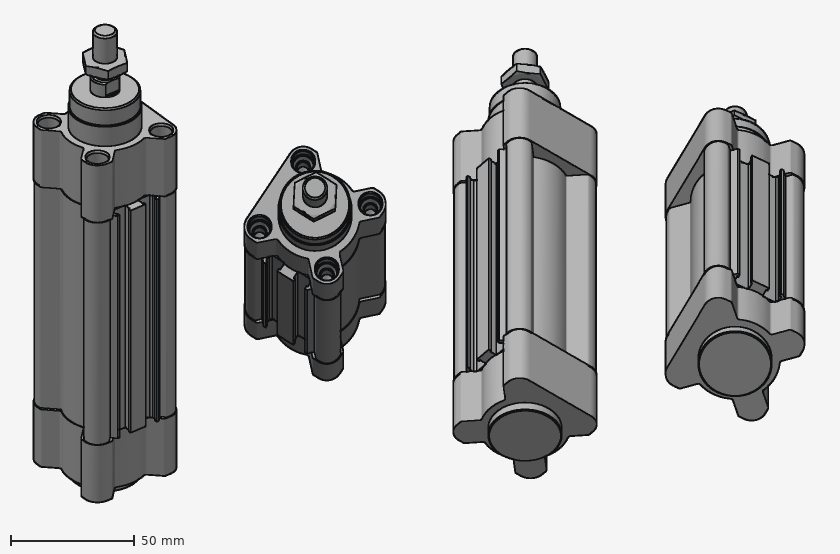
import cadquery as cq
import math

TOTAL_HEIGHT = 215.0
SPIGOT_HEIGHT = 4.3
END_CAP_HEIGHT = 28.0
BARREL_LENGTH = 108.2
COLLAR_HEIGHT = 10.0
BEARING_CAP_HEIGHT = 8.0

BARREL_BASE = SPIGOT_HEIGHT + END_CAP_HEIGHT
BARREL_TOP = BARREL_BASE + BARREL_LENGTH
HEAD_TOP = BARREL_TOP + END_CAP_HEIGHT
COLLAR_TOP = HEAD_TOP + COLLAR_HEIGHT
BEARING_TOP = COLLAR_TOP + BEARING_CAP_HEIGHT

WIDTH = 45.0
HALF_WIDTH = WIDTH / 2
SCREW_PITCH = 32.5
SCREW_OFFSET = SCREW_PITCH / 2
CAP_BELLY_RADIUS = 18.3
CAP_FLANK_OFFSET = 9.0
CAP_SHOULDER_FILLET = 1.0
CAP_ROOT_FILLET = 1.0
CAP_GAP_ANGLES = (0, 90, -90)

BARREL_HALF_WIDTH = 22.2
BARREL_FLANK_OFFSET = 7.3
BARREL_BELLY_RADIUS = 18.0
BARREL_ROOT_FILLET = 0.5
BARREL_SHOULDER_FILLET = 1.7
BARREL_GAP_ANGLES = (0, 90, 180, -90)

SLOT_ROOT_X = 15.0
SLOT_FLOOR_X = 17.6
LIP_INNER_X = 20.9
RAIL_HALF_WIDTH = 3.9
RAIL_NECK_HALF_WIDTH = 3.2
HOOK_INNER_Y = 9.5
HOOK_OUTER_Y = 10.5
SLOT_WALL_Y = 10.1
SLOT_FLOOR_CHAMFER = 0.9

COLLAR_DIAMETER = 30.0
COLLAR_CHAMFER = 0.5
BEARING_CAP_DIAMETER = 28.8
BEARING_CAP_CHAMFER = 0.6

MOUTH_DIAMETER = 10.0
RECESS_DIAMETER = 9.0
SEAT_DIAMETER = 8.2
THREAD_MOUTH_DIAMETER = 6.0
THREAD_DIAMETER = 5.0
MOUTH_DEPTH = 1.0
RECESS_DEPTH = 6.5
SEAT_DEPTH = 7.5
SEAT_CONE_DEPTH = 3.2
THREAD_DEPTH = 19.4
DRILL_POINT_ANGLE = 118.0

ROD_DIAMETER = 12.0
ROD_FLAT_WIDTH = 10.0
ROD_SHOULDER_CHAMFER = 0.6
THREAD_ROD_DIAMETER = 10.0
THREAD_LENGTH = 22.0
THREAD_CHAMFER = 0.9
THREAD_RUNOUT_DIAMETER = 8.5
THREAD_RUNOUT_HEIGHT = 2.2
UNDERCUT_DIAMETER = 7.7
UNDERCUT_HEIGHT = 1.7
FLAT_BASE_GAP = 0.9

ROD_SHOULDER = TOTAL_HEIGHT - THREAD_LENGTH
THREAD_BASE = ROD_SHOULDER + UNDERCUT_HEIGHT
FLAT_BASE = BEARING_TOP + FLAT_BASE_GAP

NUT_ACROSS_FLATS = 17.0
NUT_HEIGHT = 5.0
NUT_BASE = 197.0
NUT_CHAMFER_DIAMETER = 16.3
NUT_CHAMFER_ANGLE = 15.0


def cylinder(diameter, base, top):
    return cq.Workplane("XY").workplane(offset=base).circle(diameter / 2).extrude(top - base)


def box(x_size, y_size, base, top):
    return cq.Workplane("XY").workplane(offset=base).rect(x_size, y_size).extrude(top - base)


def cone(base_diameter, top_diameter, base, top):
    solid = cq.Solid.makeCone(base_diameter / 2, top_diameter / 2, top - base, cq.Vector(0, 0, base))
    return cq.Workplane(obj=solid)


def screw_points():
    return [(sx * SCREW_OFFSET, sy * SCREW_OFFSET) for sx in (-1, 1) for sy in (-1, 1)]


def side_gap(half_width, flank_offset, belly_radius, base, top):
    """Space beside the -Y belly: a 90 degree wedge that stops at the round belly."""
    mouth_half = half_width - flank_offset
    wedge = (
        cq.Workplane("XY")
        .workplane(offset=base)
        .polyline([(-mouth_half, -half_width), (mouth_half, -half_width), (0, -flank_offset)])
        .close()
        .extrude(top - base)
    )
    return wedge.cut(cylinder(2 * belly_radius, base, top))


def fillet_gap_edges(block, x, y, radius, gap_angles, middle):
    """Round the vertical edges at (+-x, -y), and their copies on the other gap sides."""
    for angle in gap_angles:
        turn = math.radians(angle)
        for edge_x in (-x, x):
            point = (
                edge_x * math.cos(turn) + y * math.sin(turn),
                edge_x * math.sin(turn) - y * math.cos(turn),
                middle,
            )
            block = block.edges(cq.selectors.NearestToPointSelector(point)).fillet(radius)
    return block


def lobed_block(
    half_width, flank_offset, belly_radius, shoulder_fillet, root_fillet, gap_angles, base, top
):
    """Square block with a round lobe at each screw and a filleted gap on each listed side."""
    block = box(2 * half_width, 2 * half_width, base, top)
    block = block.edges("|Z").fillet(half_width - SCREW_OFFSET)
    gap = side_gap(half_width, flank_offset, belly_radius, base, top)
    for angle in gap_angles:
        block = block.cut(gap.rotate((0, 0, 0), (0, 0, 1), angle))

    middle = (base + top) / 2
    shoulder_x = half_width - flank_offset
    block = fillet_gap_edges(block, shoulder_x, half_width, shoulder_fillet, gap_angles, middle)
    root_x = (math.sqrt(2 * belly_radius**2 - flank_offset**2) - flank_offset) / 2
    root_y = root_x + flank_offset
    return fillet_gap_edges(block, root_x, root_y, root_fillet, gap_angles, middle)


def end_cap(base):
    """Cap with gaps on the -Y, +X and -X sides and a flat +Y side."""
    return lobed_block(
        HALF_WIDTH, CAP_FLANK_OFFSET, CAP_BELLY_RADIUS, CAP_SHOULDER_FILLET, CAP_ROOT_FILLET,
        CAP_GAP_ANGLES, base, base + END_CAP_HEIGHT,
    )


def slot_side():
    """Sensor slots on the +X side: a centre rail between two hooks, with undercut slots."""
    groove_y = (HOOK_OUTER_Y + BARREL_HALF_WIDTH - BARREL_FLANK_OFFSET) / 2
    groove_x = groove_y + BARREL_FLANK_OFFSET
    half_outline = [
        (BARREL_HALF_WIDTH, RAIL_HALF_WIDTH),
        (LIP_INNER_X, RAIL_HALF_WIDTH),
        (LIP_INNER_X, RAIL_NECK_HALF_WIDTH),
        (SLOT_FLOOR_X, RAIL_NECK_HALF_WIDTH),
        (SLOT_FLOOR_X, SLOT_WALL_Y - SLOT_FLOOR_CHAMFER),
        (SLOT_FLOOR_X + SLOT_FLOOR_CHAMFER, SLOT_WALL_Y),
        (LIP_INNER_X, SLOT_WALL_Y),
        (LIP_INNER_X, HOOK_INNER_Y),
        (BARREL_HALF_WIDTH, HOOK_INNER_Y),
        (BARREL_HALF_WIDTH, HOOK_OUTER_Y),
        (groove_x, groove_y),
        (SLOT_ROOT_X, groove_y),
    ]
    mirrored = [(x, -y) for x, y in reversed(half_outline)]
    return (
        cq.Workplane("XY")
        .workplane(offset=BARREL_BASE)
        .polyline(half_outline + mirrored)
        .close()
        .extrude(BARREL_LENGTH)
    )


def barrel():
    block = lobed_block(
        BARREL_HALF_WIDTH, BARREL_FLANK_OFFSET, BARREL_BELLY_RADIUS, BARREL_SHOULDER_FILLET,
        BARREL_ROOT_FILLET, BARREL_GAP_ANGLES, BARREL_BASE, BARREL_TOP,
    )
    side = slot_side()
    return block.union(side).union(side.mirror("YZ"))


def collar():
    """Round collar on the head with the slightly smaller bearing cap on top of it."""
    ring = cylinder(COLLAR_DIAMETER, HEAD_TOP, COLLAR_TOP).faces(">Z").chamfer(COLLAR_CHAMFER)
    bearing_cap = cylinder(BEARING_CAP_DIAMETER, COLLAR_TOP, BEARING_TOP)
    return ring.union(bearing_cap.faces(">Z").chamfer(BEARING_CAP_CHAMFER))


def spigot():
    return cylinder(COLLAR_DIAMETER, 0, SPIGOT_HEIGHT).faces("<Z").chamfer(COLLAR_CHAMFER)


def screw_hole():
    """Stepped blind hole down from the head face, with a drill point at the bottom."""
    thread_radius = THREAD_DIAMETER / 2
    point_depth = thread_radius / math.tan(math.radians(DRILL_POINT_ANGLE / 2))
    cone_depth = SEAT_DEPTH + SEAT_CONE_DEPTH
    thread_mouth_depth = cone_depth + (THREAD_MOUTH_DIAMETER - THREAD_DIAMETER) / 2
    radius_and_depth = [
        (0, 0),
        (MOUTH_DIAMETER / 2, 0),
        (RECESS_DIAMETER / 2, MOUTH_DEPTH),
        (RECESS_DIAMETER / 2, RECESS_DEPTH),
        (SEAT_DIAMETER / 2, RECESS_DEPTH),
        (SEAT_DIAMETER / 2, SEAT_DEPTH),
        (THREAD_MOUTH_DIAMETER / 2, cone_depth),
        (thread_radius, thread_mouth_depth),
        (thread_radius, THREAD_DEPTH),
        (0, THREAD_DEPTH + point_depth),
    ]
    return (
        cq.Workplane("XZ")
        .polyline([(radius, HEAD_TOP - depth) for radius, depth in radius_and_depth])
        .close()
        .revolve(360, (0, 0, 0), (0, 1, 0))
    )


def make_housing():
    body = barrel().union(end_cap(SPIGOT_HEIGHT)).union(end_cap(BARREL_TOP))
    body = body.union(collar()).union(spigot())
    hole = screw_hole()
    for x, y in screw_points():
        body = body.cut(hole.translate((x, y, 0)))
    return body.cut(cylinder(ROD_DIAMETER, BARREL_TOP, BEARING_TOP))


def make_rod():
    """Rod with two wrench flats facing +-X, a thread undercut and a threaded end."""
    shaft = cylinder(ROD_DIAMETER, BARREL_TOP, ROD_SHOULDER).faces(">Z").chamfer(ROD_SHOULDER_CHAMFER)
    above_cap = box(ROD_FLAT_WIDTH, ROD_DIAMETER, FLAT_BASE, ROD_SHOULDER)
    below_flats = box(ROD_DIAMETER, ROD_DIAMETER, BARREL_TOP, FLAT_BASE)
    shaft = shaft.intersect(above_cap.union(below_flats))
    undercut = cylinder(UNDERCUT_DIAMETER, ROD_SHOULDER, THREAD_BASE)
    runout_top = THREAD_BASE + THREAD_RUNOUT_HEIGHT
    runout = cone(THREAD_RUNOUT_DIAMETER, THREAD_ROD_DIAMETER, THREAD_BASE, runout_top)
    thread = cylinder(THREAD_ROD_DIAMETER, runout_top, TOTAL_HEIGHT).faces(">Z").chamfer(THREAD_CHAMFER)
    return shaft.union(undercut).union(runout).union(thread)


def make_nut():
    """Hexagon nut with flats facing +-X."""
    corner_diameter = NUT_ACROSS_FLATS / math.cos(math.radians(30))
    nut = (
        cq.Workplane("XY")
        .workplane(offset=NUT_BASE)
        .polygon(6, corner_diameter)
        .extrude(NUT_HEIGHT)
        .rotate((0, 0, 0), (0, 0, 1), 30)
    )
    bevel_height = (corner_diameter - NUT_CHAMFER_DIAMETER) / 2 * math.tan(math.radians(NUT_CHAMFER_ANGLE))
    nut_top = NUT_BASE + NUT_HEIGHT
    lower_bevel = NUT_BASE + bevel_height
    upper_bevel = nut_top - bevel_height
    envelope = (
        cylinder(corner_diameter, lower_bevel, upper_bevel)
        .union(cone(NUT_CHAMFER_DIAMETER, corner_diameter, NUT_BASE, lower_bevel))
        .union(cone(corner_diameter, NUT_CHAMFER_DIAMETER, upper_bevel, nut_top))
    )
    return nut.intersect(envelope).cut(cylinder(THREAD_ROD_DIAMETER, NUT_BASE, nut_top))


housing = make_housing()
rod = make_rod()
nut = make_nut()

result = cq.Compound.makeCompound([housing.val(), rod.val(), nut.val()])